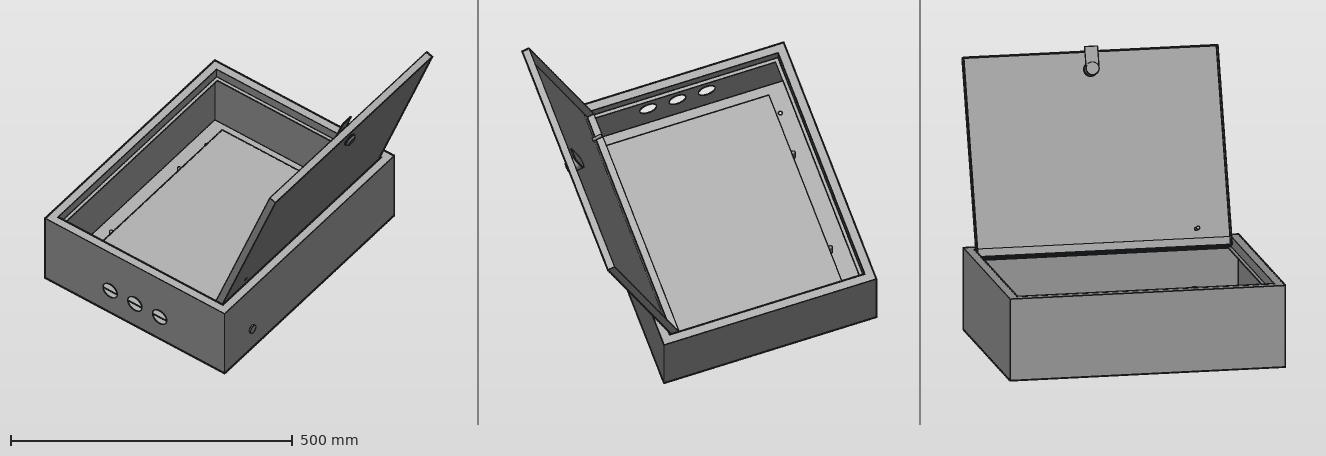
import cadquery as cq
import math

BOX_X = 400.0
BOX_Y = 500.0
BOX_Z = 150.0
SHEET = 1.2
RIM = 17.5
LEDGE = 6.5
SEAT_DEPTH = 18.5
LEDGE_Z = BOX_Z - SEAT_DEPTH

CABLE_HOLE_D = 31.5
CABLE_HOLE_PITCH = 55.0
CABLE_HOLE_Z = 55.0

FIXING_HOLE_D = 7.0
FIXING_X = 172.5
FIXING_Y = 190.0

PLATE_X = 324.0
PLATE_Y = 443.0
PLATE_T = 2.0
PLATE_GAP = 17.5

POST_D = 7.0
POST_X = -PLATE_X / 2 - POST_D / 2
POST_Y = 100.0

DOOR_ANGLE = 70.0
DOOR_L = 358.0
DOOR_W = 462.0
DOOR_T = 14.0
DOOR_TOP_X = 298.97
DOOR_FOOT_X = DOOR_TOP_X - DOOR_L * math.cos(math.radians(DOOR_ANGLE))
DOOR_FOOT_Z = 134.8

LOCK_UP = 326.0
LOCK_BODY_D = 23.0
LOCK_HEAD_D = 25.0
LOCK_FACE_D = 18.0
LOCK_FLANGE_T = 2.0
LOCK_HEAD_T = 6.0
CAM_W = 23.5
CAM_T = 2.0
CAM_Z = 19.0
CAM_TIP_Z = 485.33

STUD_D = 6.0
DOOR_STUD_UP = 32.5
DOOR_STUD_Y = -170.0
DOOR_STUD_L = 18.0
BOLT_Z = 50.0
BOLT_Y = DOOR_STUD_Y
BOLT_HEAD_D = 16.0
BOLT_HEAD_T = 3.0
BOLT_L = 15.0


def block(size_x, size_y, z_low, z_high):
    """Block centred on the Z axis between two heights."""
    return cq.Workplane("XY").box(size_x, size_y, z_high - z_low, (True, True, False)).translate((0, 0, z_low))


def rod(diameter, length, x, y, z):
    """Round rod standing on a given point."""
    return cq.Workplane("XY").circle(diameter / 2).extrude(length).translate((x, y, z))


def on_door(local_body):
    """Moves a body from the door's local axes to its open position."""
    return local_body.rotate((0, 0, 0), (0, 1, 0), -DOOR_ANGLE).translate((DOOR_FOOT_X, 0, DOOR_FOOT_Z))


def make_box():
    """Thin shell whose top rim folds down into a seat with a narrow ledge around the opening."""
    seat_x = BOX_X - 2 * RIM
    seat_y = BOX_Y - 2 * RIM
    shell = block(BOX_X, BOX_Y, 0, BOX_Z)
    shell = shell.cut(block(BOX_X - 2 * SHEET, BOX_Y - 2 * SHEET, SHEET, BOX_Z - SHEET))
    shell = shell.union(block(seat_x + 2 * SHEET, seat_y + 2 * SHEET, LEDGE_Z - SHEET, BOX_Z))
    shell = shell.cut(block(seat_x, seat_y, LEDGE_Z, BOX_Z))
    shell = shell.cut(block(seat_x - 2 * LEDGE, seat_y - 2 * LEDGE, LEDGE_Z - SHEET, LEDGE_Z))
    for i in (-1, 0, 1):
        hole = cq.Workplane("XZ").center(i * CABLE_HOLE_PITCH, CABLE_HOLE_Z).circle(CABLE_HOLE_D / 2)
        shell = shell.cut(hole.extrude(SHEET).translate((0, -BOX_Y / 2 + SHEET, 0)))
    for x in (-FIXING_X, FIXING_X):
        for y in (-FIXING_Y, FIXING_Y):
            shell = shell.cut(rod(FIXING_HOLE_D, SHEET, x, y, 0))
    return shell.cut(make_bolt())


def make_bolt():
    """Earth bolt through the +X wall, its head outside."""
    bolt = rod(BOLT_HEAD_D, BOLT_HEAD_T, 0, 0, 0).union(rod(STUD_D, BOLT_L, 0, 0, -BOLT_L))
    return bolt.rotate((0, 0, 0), (0, 1, 0), 90).translate((BOX_X / 2, BOLT_Y, BOLT_Z))


def make_post(y):
    """Post with a domed top, standing on the floor and reaching the top of the plate."""
    dome_radius = POST_D / 2
    shaft_length = PLATE_GAP + PLATE_T - dome_radius
    dome = cq.Workplane("XY").sphere(dome_radius).translate((POST_X, y, SHEET + shaft_length))
    return rod(POST_D, shaft_length, POST_X, y, SHEET).union(dome)


def make_door():
    """Shallow pan, open on its inner side, with a hole for the lock."""
    pan = cq.Workplane("XY").box(DOOR_L, DOOR_W, DOOR_T, (False, True, False))
    hollow = cq.Workplane("XY").box(DOOR_L - 2 * SHEET, DOOR_W - 2 * SHEET, DOOR_T, (False, True, False))
    pan = pan.cut(hollow.translate((SHEET, 0, SHEET)))
    pan = pan.cut(rod(LOCK_BODY_D, SHEET, LOCK_UP, 0, 0))
    return on_door(pan)


def make_lock():
    """Lock barrel through the door, with a tapered head on the outer side."""
    half_profile = cq.Workplane("XZ").polyline([
        (0, 0),
        (LOCK_HEAD_D / 2, 0),
        (LOCK_HEAD_D / 2, -LOCK_FLANGE_T),
        (LOCK_FACE_D / 2, -LOCK_HEAD_T),
        (0, -LOCK_HEAD_T),
    ]).close()
    head = half_profile.revolve(360, (0, 0, 0), (0, 1, 0)).translate((LOCK_UP, 0, 0))
    return on_door(head.union(rod(LOCK_BODY_D, CAM_Z, LOCK_UP, 0, 0)))


def make_cam():
    """Flat latch on the end of the barrel, round at the barrel and square at the tip."""
    angle = math.radians(DOOR_ANGLE)
    tip = (CAM_TIP_Z - DOOR_FOOT_Z - (CAM_Z + CAM_T) * math.cos(angle)) / math.sin(angle)
    half = CAM_W / 2
    cam = (
        cq.Workplane("XY")
        .moveTo(LOCK_UP, half)
        .lineTo(tip, half)
        .lineTo(tip, -half)
        .lineTo(LOCK_UP, -half)
        .threePointArc((LOCK_UP - half, 0), (LOCK_UP, half))
        .close()
        .extrude(CAM_T)
    )
    return on_door(cam.translate((0, 0, CAM_Z)))


box = make_box()
plate = block(PLATE_X, PLATE_Y, SHEET + PLATE_GAP, SHEET + PLATE_GAP + PLATE_T)
posts = [make_post(y) for y in (-POST_Y, POST_Y)]
door = make_door()
lock = make_lock()
cam = make_cam()
door_stud = on_door(rod(STUD_D, DOOR_STUD_L, DOOR_STUD_UP, DOOR_STUD_Y, SHEET))
bolt = make_bolt()

result = cq.Compound.makeCompound([
    box.val(),
    plate.val(),
    *[post.val() for post in posts],
    door.val(),
    lock.val(),
    cam.val(),
    door_stud.val(),
    bolt.val(),
])